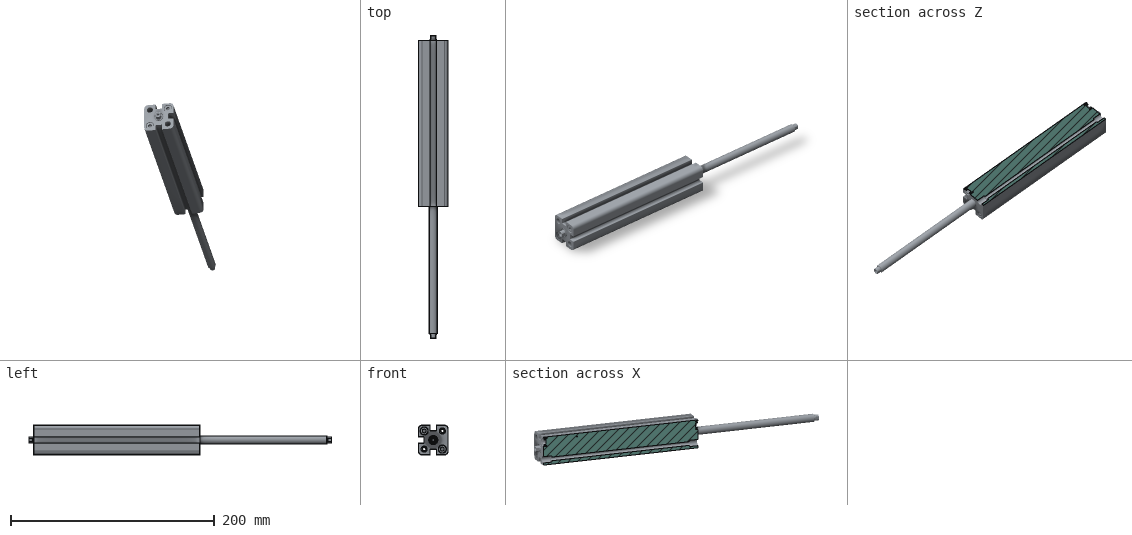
import cadquery as cq
import math

total_length = 297.0
body_size = 29.0
body_length = 163.0
body_setback = 4.8
corner_radius = 3.5
stud_length = 4.8

slot_width = 6.2
slot_depth = 5.3
slot_edge_radius = 0.3

fixing_spacing = 17.8
counterbore_diameter = 6.0
counterbore_depth = 3.0
through_diameter = 3.3
screw_hole_diameter = 8.0
screw_hole_depth = 4.5
screw_head_diameter = 7.5
screw_recess_depth = 0.5
socket_across_flats = 3.5
socket_depth = 2.5

rod_diameter = 8.0
rod_clearance_diameter = 9.0
rod_clearance_depth = 1.0
rod_chamfer = 0.3
stud_diameter = 6.0
stud_across_flats = 5.0
flat_length = 4.0
tip_hole_diameter = 2.47
tip_hole_depth = 3.0
tip_countersink_diameter = 4.2
drill_point_angle = 120.0

rod_back = total_length / 2
body_back = rod_back - body_setback
body_front = body_back - body_length
fixing_offset = fixing_spacing / 2


def cylinder(diameter, y_start, y_end, x=0.0, z=0.0):
    """Cylinder along Y between two stations."""
    start = cq.Vector(x, y_start, z)
    direction = cq.Vector(0, math.copysign(1, y_end - y_start), 0)
    return cq.Workplane(cq.Solid.makeCylinder(diameter / 2, abs(y_end - y_start), start, direction))


def make_body():
    """Square profile with rounded corners and three full-length slots with eased edges."""
    middle = (body_front + body_back) / 2
    body = cq.Workplane().box(body_size, body_length, body_size).edges("|Y").fillet(corner_radius)
    slot_centre = (body_size - slot_depth) / 2
    wall_slot = (
        cq.Workplane()
        .box(slot_width, body_length, slot_depth)
        .edges("|Y and <Z")
        .fillet(slot_edge_radius)
        .translate((0, 0, slot_centre))
    )
    for angle in (0, 180, -90):
        body = body.cut(wall_slot.rotate((0, 0, 0), (0, 1, 0), angle))
    half_size = body_size / 2
    half_slot = slot_width / 2
    mouth_corners = [(side * half_slot, end * half_size) for side in (-1, 1) for end in (-1, 1)]
    mouth_corners += [(-half_size, side * half_slot) for side in (-1, 1)]
    for x, z in mouth_corners:
        body = body.edges(cq.selectors.NearestToPointSelector((x, 0, z))).fillet(slot_edge_radius)
    return body.translate((0, middle, 0))


def cut_through_fixings(body):
    """Through holes on one diagonal, counterbored at both ends."""
    for side in (-1, 1):
        x = z = side * fixing_offset
        body = body.cut(cylinder(through_diameter, body_front, body_back, x, z))
        for face, inward in ((body_front, 3), (body_back, -3)):
            floor = face + inward * counterbore_depth
            body = body.cut(cylinder(counterbore_diameter, face, floor, x, z))
    return body


def cut_socket_screws(body):
    """Sunk hexagon-socket screw heads on the other diagonal, at both ends."""
    across_corners = socket_across_flats / math.cos(math.pi / 6)
    socket = (
        cq.Workplane("XZ")
        .polygon(6, across_corners)
        .extrude(socket_depth / 2, both=True)
        .rotate((0, 0, 0), (0, 1, 0), 90)
    )
    for side in (-1, 1):
        x = side * fixing_offset
        z = -x
        for face, inward in ((body_front, 1), (body_back, -1)):
            head_top = face + inward * screw_recess_depth
            hole_floor = face + inward * screw_hole_depth
            head = cylinder(screw_head_diameter, hole_floor, head_top, x, z)
            head = head.cut(socket.translate((x, head_top + inward * socket_depth / 2, z)))
            body = body.cut(cylinder(screw_hole_diameter, face, hole_floor, x, z))
            body = body.union(head)
    return body


def cut_rod_clearance(body):
    """Shallow ring around the rod on both end faces."""
    for face, inward in ((body_front, 1), (body_back, -1)):
        floor = face + inward * rod_clearance_depth
        body = body.cut(cylinder(rod_clearance_diameter, face, floor))
    return body


def make_rod():
    """Turned rod with a chamfered shoulder, flatted stud and countersunk tip hole at each end."""
    rod_radius = rod_diameter / 2
    stud_radius = stud_diameter / 2
    countersink_radius = tip_countersink_diameter / 2
    hole_radius = tip_hole_diameter / 2
    shoulder = total_length / 2 - stud_length
    tip = total_length / 2
    hole_floor = tip - tip_hole_depth
    drill_point = hole_floor - hole_radius / math.tan(math.radians(drill_point_angle / 2))
    half_rod = (
        cq.Workplane("XY")
        .polyline(
            [
                (0, 0),
                (rod_radius, 0),
                (rod_radius, shoulder - rod_chamfer),
                (rod_radius - rod_chamfer, shoulder),
                (stud_radius, shoulder),
                (stud_radius, tip),
                (countersink_radius, tip),
                (hole_radius, tip - (countersink_radius - hole_radius)),
                (hole_radius, hole_floor),
                (0, drill_point),
            ]
        )
        .close()
        .revolve(360, (0, 0, 0), (0, 1, 0))
    )
    flat_cutter = cq.Workplane().box(stud_radius, flat_length, stud_diameter)
    flat_centre = (stud_across_flats + stud_radius) / 2
    for side in (-1, 1):
        half_rod = half_rod.cut(flat_cutter.translate((side * flat_centre, tip - flat_length / 2, 0)))
    return half_rod.union(half_rod.mirror("XZ"))


body = make_body()
body = cut_through_fixings(body)
body = cut_socket_screws(body)
body = cut_rod_clearance(body)
result = body.union(make_rod())